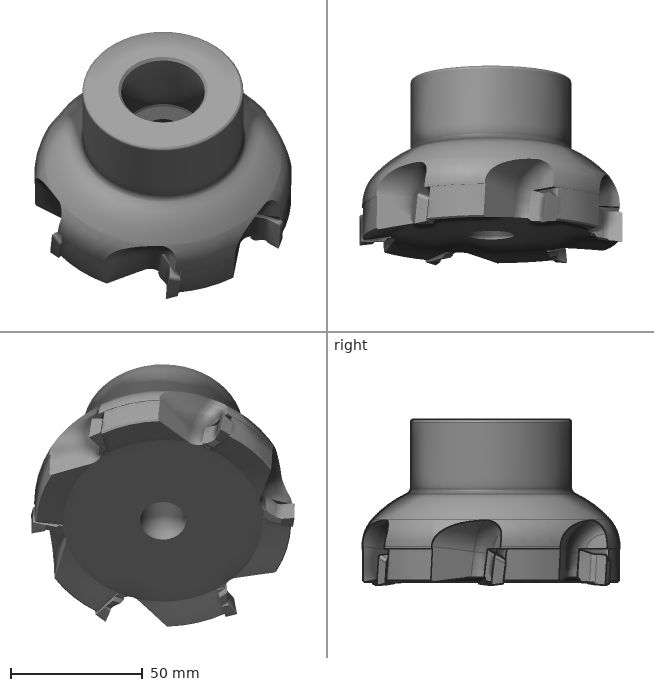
import cadquery as cq
import math


total_height = 63.0
hub_radius = 61.0 / 2
hub_top_radius = 59.0 / 2
hub_rim_width = 0.4
hub_rim_drop = 0.25
hub_round_height = 1.2
hub_bottom_z = 36.7
neck_radius = 31.95
neck_z = 34.7
neck_round = 2.5
shoulder_radius = 45.0
shoulder_z = 25.0
shoulder_bulge = 0.8
body_radius = 48.85
band_top_z = 14.8
skirt_top_z = 13.9
skirt_radius = 48.6
skirt_bottom_z = 1.27
skirt_chamfer = 0.6

dish_radius = 37.8
dish_z = 3.15

arbor_bore_radius = 31.76 / 2
arbor_bore_depth = 26.0
bore_mouth_chamfer = 1.0
bore_floor_chamfer = 0.65
bolt_hole_radius = 17.5 / 2

tooth_count = 6
pocket_turn = 20.0
axial_rake = 7.0
pocket_floor = 32.5
pocket_wall = -15.0
pocket_corner_radius = 5.4
pocket_straight_top = 12.0
pocket_sweep_radius = 13.3
pocket_length = 35.0
cutter_reach = 60.0
cutter_below = -5.0
blank_height = 30.0

tip_radius = 50.0
seat_depth = 2.5
insert_inner_end = (39.25, -3.0)
groove_edge = (43.0, -0.1)
groove_middle = (44.1, 0.3)
groove_bottom = (45.2, 0.35)
flank_relief = 12.0
insert_top_z = 11.7
top_relief = 19.0
bottom_relief = 14.0
top_tilt = 4.0
insert_corner_radius = 1.3
insert_land_z = 1.25
insert_land_start = 44.2
insert_land_end = 45.6
insert_inner_round = 1.3


def from_pocket_frame(n, b):
    """Radial and tangential position of a point given across and along the pocket."""
    turn = math.radians(pocket_turn)
    return (n * math.cos(turn) - b * math.sin(turn), n * math.sin(turn) + b * math.cos(turn))


def to_pocket_frame(radial, tangential):
    turn = math.radians(pocket_turn)
    return (
        radial * math.cos(turn) + tangential * math.sin(turn),
        tangential * math.cos(turn) - radial * math.sin(turn),
    )


seat_inner, seat_front = to_pocket_frame(*insert_inner_end)
seat_back = pocket_wall + seat_depth


def lean(shape):
    return shape.rotate((0, 0, 0), (1, 0, 0), -axial_rake)


def at_tooth(shape, index):
    return shape.rotate((0, 0, 0), (0, 0, 1), index * 360 / tooth_count)


def turned_body():
    chord = math.hypot(shoulder_radius - neck_radius, neck_z - shoulder_z)
    shoulder_middle = (
        (neck_radius + shoulder_radius) / 2 + shoulder_bulge * (neck_z - shoulder_z) / chord,
        (neck_z + shoulder_z) / 2 + shoulder_bulge * (shoulder_radius - neck_radius) / chord,
    )
    hub_round_start = (hub_top_radius + hub_rim_width, total_height - hub_rim_drop)
    bore_floor_z = total_height - arbor_bore_depth
    return (
        cq.Workplane("XZ")
        .moveTo(bolt_hole_radius, dish_z)
        .lineTo(dish_radius, dish_z)
        .lineTo(skirt_radius - skirt_chamfer, skirt_bottom_z)
        .lineTo(skirt_radius, skirt_bottom_z + skirt_chamfer)
        .lineTo(skirt_radius, skirt_top_z)
        .lineTo(body_radius, skirt_top_z)
        .lineTo(body_radius, band_top_z)
        .tangentArcPoint((shoulder_radius, shoulder_z), relative=False)
        .threePointArc(shoulder_middle, (neck_radius, neck_z))
        .radiusArc((hub_radius, hub_bottom_z), neck_round)
        .lineTo(hub_radius, total_height - hub_round_height)
        .tangentArcPoint(hub_round_start, relative=False)
        .lineTo(hub_top_radius, total_height)
        .lineTo(arbor_bore_radius + bore_mouth_chamfer, total_height)
        .lineTo(arbor_bore_radius, total_height - bore_mouth_chamfer)
        .lineTo(arbor_bore_radius, bore_floor_z + bore_floor_chamfer)
        .lineTo(arbor_bore_radius - bore_floor_chamfer, bore_floor_z)
        .lineTo(bolt_hole_radius, bore_floor_z)
        .close()
        .revolve(360, (0, 0, 0), (0, 1, 0))
    )


def pocket_cutter():
    """Flat floor that curves outward at its top, with a rounded corner along the wall."""
    sweep_middle = math.radians(45)
    arc_middle = (
        pocket_floor + pocket_sweep_radius * (1 - math.cos(sweep_middle)),
        pocket_straight_top + pocket_sweep_radius * math.sin(sweep_middle),
    )
    pocket_top = pocket_straight_top + pocket_sweep_radius
    pocket = (
        cq.Workplane("XZ", origin=(0, pocket_wall, 0))
        .moveTo(pocket_floor, cutter_below)
        .lineTo(pocket_floor, pocket_straight_top)
        .threePointArc(arc_middle, (pocket_floor + pocket_sweep_radius, pocket_top))
        .lineTo(cutter_reach, pocket_top)
        .lineTo(cutter_reach, cutter_below)
        .close()
        .extrude(pocket_length)
    )
    pocket = pocket.faces(">Y").edges("<X").fillet(pocket_corner_radius)
    return lean(pocket.rotate((0, 0, 0), (0, 0, 1), pocket_turn))


def seat_cutter():
    """Recess behind the pocket wall, open to the outside and below."""
    corners = [
        from_pocket_frame(seat_inner, seat_front),
        from_pocket_frame(cutter_reach, seat_front),
        from_pocket_frame(cutter_reach, seat_back),
        from_pocket_frame(seat_inner, seat_back),
    ]
    seat = (
        cq.Workplane("XY", origin=(0, 0, cutter_below))
        .polyline(corners)
        .close()
        .extrude(blank_height)
    )
    below_roof = cq.Workplane("XY").circle(2 * cutter_reach).extrude(skirt_top_z, both=True)
    return lean(seat).intersect(below_roof)


def cutting_insert():
    inner_back = from_pocket_frame(seat_inner, seat_back)
    turn = math.radians(pocket_turn)
    relief = math.radians(flank_relief)
    tip_to_back = seat_back + tip_radius * math.sin(turn)
    flank_length = tip_to_back / math.cos(turn - relief)
    flank_end = (tip_radius - flank_length * math.sin(relief), flank_length * math.cos(relief))
    blank = (
        cq.Workplane("XY", origin=(0, 0, cutter_below))
        .moveTo(*insert_inner_end)
        .lineTo(*groove_edge)
        .threePointArc(groove_middle, groove_bottom)
        .lineTo(tip_radius, 0)
        .lineTo(*flank_end)
        .lineTo(*inner_back)
        .close()
        .extrude(blank_height)
    )
    behind = 10.0
    ahead = 5.0
    top_slope = math.tan(math.radians(top_relief))
    bottom_slope = math.tan(math.radians(bottom_relief))
    side = (
        cq.Workplane("YZ")
        .polyline([
            (-ahead, 0),
            (0, 0),
            (behind, behind * bottom_slope),
            (behind, insert_top_z - behind * top_slope),
            (-ahead, insert_top_z + ahead * top_slope),
        ])
        .close()
        .extrude(cutter_reach)
        .rotate((tip_radius, 0, 0), (tip_radius, 1, 0), top_tilt)
    )
    land = (
        cq.Workplane("XZ", origin=(0, behind, 0))
        .moveTo(inner_back[0], cutter_below)
        .lineTo(insert_land_end, cutter_below)
        .lineTo(insert_land_end, 0)
        .lineTo(insert_land_start, insert_land_z)
        .lineTo(insert_inner_end[0] + insert_inner_round, insert_land_z)
        .lineTo(insert_inner_end[0], insert_land_z + insert_inner_round)
        .lineTo(inner_back[0], insert_land_z + insert_inner_round)
        .close()
        .extrude(behind + ahead)
    )
    insert = blank.intersect(side)
    flank_middle = ((tip_radius + flank_end[0]) / 2, flank_end[1] / 2)
    outer_corner = (*flank_middle, insert_top_z - flank_middle[1] * top_slope)
    insert = (
        insert
        .edges(cq.selectors.NearestToPointSelector(outer_corner))
        .fillet(insert_corner_radius)
    )
    return lean(insert.cut(land))


pocket = pocket_cutter()
seat = seat_cutter()
insert = cutting_insert()

cutter_body = turned_body()
inserts = []
for tooth in range(tooth_count):
    cutter_body = cutter_body.cut(at_tooth(pocket, tooth)).cut(at_tooth(seat, tooth))
    inserts.append(at_tooth(insert, tooth).val())

result = cq.Compound.makeCompound([cutter_body.val(), *inserts])